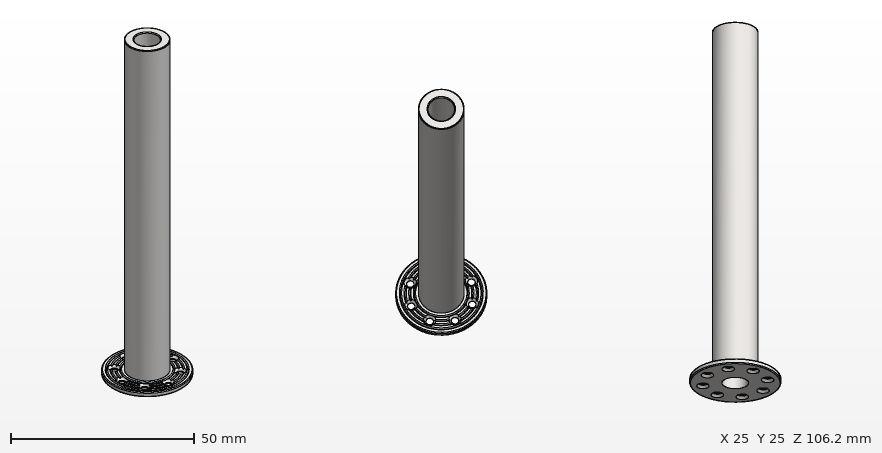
import cadquery as cq

total_height = 106.2
flange_diameter = 25.0
flange_thickness = 1.5
flange_chamfer = 0.27

tube_diameter = 12.5
tube_rim_chamfer = 0.2
bore_diameter = 7.2
bore_chamfer = 0.27

hole_count = 8
hole_diameter = 2.0
hole_circle_diameter = 18.1
countersink_diameter = 3.4

groove_count = 4
first_groove_radius = 7.3
groove_pitch = 1.3
groove_width = 0.6
groove_depth = groove_width / 2


def make_flange():
    """Flat disc with both rims chamfered."""
    disc = cq.Workplane("XY").circle(flange_diameter / 2).extrude(flange_thickness)
    return disc.edges().chamfer(flange_chamfer)


def revolve_profile(profile):
    """Revolve a closed (radius, height) outline a full turn about the Z axis."""
    return cq.Workplane("XZ").polyline(profile).close().revolve(360, (0, 0, 0), (0, 1, 0))


def make_groove(radius):
    """Ring-shaped V cutter whose centre line runs at the given radius."""
    half_width = groove_width / 2
    profile = [
        (radius - half_width, flange_thickness),
        (radius + half_width, flange_thickness),
        (radius, flange_thickness - groove_depth),
    ]
    return revolve_profile(profile)


def make_hole_cutters():
    """Through-hole cutters countersunk at both ends, evenly spaced on the hole circle."""
    hole_radius = hole_diameter / 2
    countersink_radius = countersink_diameter / 2
    countersink_depth = countersink_radius - hole_radius
    profile = [
        (0, 0),
        (countersink_radius, 0),
        (hole_radius, countersink_depth),
        (hole_radius, flange_thickness - countersink_depth),
        (countersink_radius, flange_thickness),
        (0, flange_thickness),
    ]
    cutter = revolve_profile(profile).val()
    return (
        cq.Workplane("XY")
        .polarArray(hole_circle_diameter / 2, 0, 360, hole_count)
        .eachpoint(lambda place: cutter.moved(place), combine=False)
    )


def make_tube():
    """Solid cylinder on the base plane, chamfered around its top rim."""
    tube = cq.Workplane("XY").circle(tube_diameter / 2).extrude(total_height)
    return tube.faces(">Z").edges().chamfer(tube_rim_chamfer)


def make_bore():
    """Through-bore cutter that flares into a chamfer at the top of the tube."""
    bore_radius = bore_diameter / 2
    profile = [
        (0, 0),
        (bore_radius, 0),
        (bore_radius, total_height - bore_chamfer),
        (bore_radius + bore_chamfer, total_height),
        (0, total_height),
    ]
    return revolve_profile(profile)


flange = make_flange()
for index in range(groove_count):
    flange = flange.cut(make_groove(first_groove_radius + index * groove_pitch))
flange = flange.cut(make_hole_cutters())

result = flange.union(make_tube()).cut(make_bore())